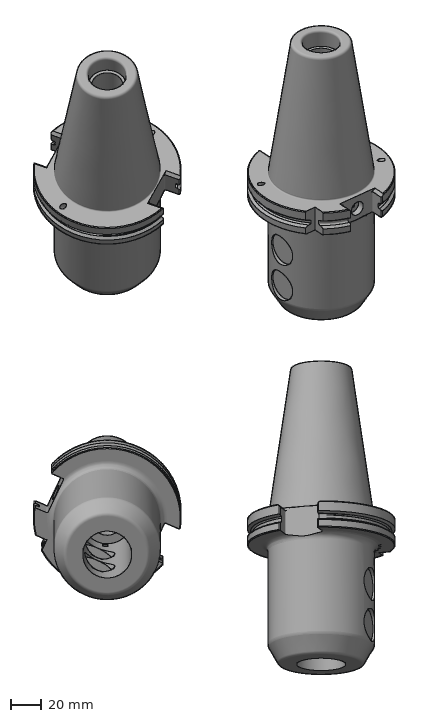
import cadquery as cq
import math


TOTAL_HEIGHT = 201.5
GAUGE_Z = 100.0
FLANGE_TOP = 98.8
FLANGE_BOTTOM = 80.8

GAUGE_RADIUS = 34.9
TAPER_RATIO = 7 / 24
TAPER_TOP_RADIUS = GAUGE_RADIUS - (TOTAL_HEIGHT - GAUGE_Z) * TAPER_RATIO / 2
TAPER_TOP_FILLET = 2.0
COLLAR_ROOT_FILLET = 0.8

FLANGE_DIAMETER = 97.4
FLANGE_RADIUS = FLANGE_DIAMETER / 2
FLANGE_CHAMFER = 0.6
GROOVE_Z = 89.0
GROOVE_RADIUS = 45.2
GROOVE_HALF_WIDTH = 1.8
GROOVE_CORNER_FILLET = 0.8
GROOVE_FLANK_RADIUS = 46.5
GROOVE_FLANK_ANGLE = 30.0

NOSE_RADIUS = 35.0
NOSE_CONE_Z = 12.5
NOSE_CONE_ANGLE = 30.0
NOSE_END_RADIUS = NOSE_RADIUS - NOSE_CONE_Z * math.tan(math.radians(NOSE_CONE_ANGLE))
NOSE_ROOT_FILLET = 4.5
NOSE_SHOULDER_FILLET = 4.0
NOSE_END_FILLET = 2.8

DRAWBAR_RADIUS = 12.5
DRAWBAR_DEPTH = 12.0
DRAWBAR_FILLET = 1.6
THROUGH_RADIUS = 10.3
SHANK_BORE_RADIUS = 16.1
SHANK_BORE_DEPTH = 76.6

SLOT_HALF_WIDTH = 13.0
SLOT_FLOOR_LEFT = -37.3
SLOT_FLOOR_RIGHT = 35.7
SLOT_CORNER_FILLET = 0.8
SLOT_TOP_CHAMFER = 2.0
SLOT_RIM_CHAMFER = 0.8

NOTCH_CORNER = 30.0

CHIP_RADIUS = 5.0
CHIP_DEPTH = 4.6
PILOT_RADIUS = 1.6
PILOT_TIP_ANGLE = 118.0

COOLANT_RADIUS = 1.8
COOLANT_CIRCLE_RADIUS = 42.1
COOLANT_TILT = 45.0
COOLANT_FIRST_ANGLE = 70.3
COOLANT_ANGLES = (COOLANT_FIRST_ANGLE, COOLANT_FIRST_ANGLE + 180)

SCREW_RADIUS = 10.9
SCREW_HEIGHTS = (24.0, 51.8)
SCREW_OUTER_Y = 32.3

CUT_MARGIN = 2.0


def circles_at(body, radius, z):
    """Circular edges of the body around the Z axis with this radius and height."""
    tolerance = 0.002

    def matches(edge):
        return (
            edge.geomType() == "CIRCLE"
            and abs(edge.radius() - radius) < tolerance
            and abs(edge.Center().z - z) < tolerance
        )

    return body.newObject([edge for edge in body.edges().vals() if matches(edge)])


def cylinder_z(radius, bottom, top):
    return cq.Workplane("XY", origin=(0, 0, bottom)).circle(radius).extrude(top - bottom)


def turned_body():
    """Outside of the holder, turned about Z."""
    flank_depth = FLANGE_RADIUS - GROOVE_FLANK_RADIUS
    half_mouth = GROOVE_HALF_WIDTH + flank_depth * math.tan(math.radians(GROOVE_FLANK_ANGLE))
    outline = [
        (0, 0),
        (NOSE_END_RADIUS, 0),
        (NOSE_RADIUS, NOSE_CONE_Z),
        (NOSE_RADIUS, FLANGE_BOTTOM),
        (FLANGE_RADIUS - FLANGE_CHAMFER, FLANGE_BOTTOM),
        (FLANGE_RADIUS, FLANGE_BOTTOM + FLANGE_CHAMFER),
        (FLANGE_RADIUS, GROOVE_Z - half_mouth),
        (GROOVE_FLANK_RADIUS, GROOVE_Z - GROOVE_HALF_WIDTH),
        (GROOVE_RADIUS, GROOVE_Z - GROOVE_HALF_WIDTH),
        (GROOVE_RADIUS, GROOVE_Z + GROOVE_HALF_WIDTH),
        (GROOVE_FLANK_RADIUS, GROOVE_Z + GROOVE_HALF_WIDTH),
        (FLANGE_RADIUS, GROOVE_Z + half_mouth),
        (FLANGE_RADIUS, FLANGE_TOP - FLANGE_CHAMFER),
        (FLANGE_RADIUS - FLANGE_CHAMFER, FLANGE_TOP),
        (GAUGE_RADIUS, FLANGE_TOP),
        (GAUGE_RADIUS, GAUGE_Z),
        (TAPER_TOP_RADIUS, TOTAL_HEIGHT),
        (0, TOTAL_HEIGHT),
    ]
    body = cq.Workplane("XZ").polyline(outline).close().revolve(360, (0, 0, 0), (0, 1, 0))
    rounded_edges = [
        (NOSE_END_RADIUS, 0, NOSE_END_FILLET),
        (NOSE_RADIUS, NOSE_CONE_Z, NOSE_SHOULDER_FILLET),
        (NOSE_RADIUS, FLANGE_BOTTOM, NOSE_ROOT_FILLET),
        (GAUGE_RADIUS, FLANGE_TOP, COLLAR_ROOT_FILLET),
        (TAPER_TOP_RADIUS, TOTAL_HEIGHT, TAPER_TOP_FILLET),
        (GROOVE_RADIUS, GROOVE_Z - GROOVE_HALF_WIDTH, GROOVE_CORNER_FILLET),
        (GROOVE_RADIUS, GROOVE_Z + GROOVE_HALF_WIDTH, GROOVE_CORNER_FILLET),
    ]
    for radius, z, fillet in rounded_edges:
        body = circles_at(body, radius, z).fillet(fillet)
    return body


def cut_axial_bores(body):
    body = body.cut(cylinder_z(THROUGH_RADIUS, 0, TOTAL_HEIGHT))
    body = body.cut(cylinder_z(SHANK_BORE_RADIUS, 0, SHANK_BORE_DEPTH))
    body = body.cut(cylinder_z(DRAWBAR_RADIUS, TOTAL_HEIGHT - DRAWBAR_DEPTH, TOTAL_HEIGHT))
    return circles_at(body, DRAWBAR_RADIUS, TOTAL_HEIGHT).fillet(DRAWBAR_FILLET)


def drive_slot(floor_x):
    """Cutter for a slot that runs outward from floor_x, with chamfered mouth edges."""
    side = math.copysign(1, floor_x)
    outer_x = side * (FLANGE_RADIUS + CUT_MARGIN)
    bottom = FLANGE_BOTTOM - NOSE_ROOT_FILLET
    height = FLANGE_TOP - bottom
    floor_edges = "|Z and <X" if side > 0 else "|Z and >X"
    slot = (
        cq.Workplane("XY", origin=((floor_x + outer_x) / 2, 0, bottom))
        .rect(abs(outer_x - floor_x), 2 * SLOT_HALF_WIDTH)
        .extrude(height)
        .edges(floor_edges)
        .fillet(SLOT_CORNER_FILLET)
    )

    wide = SLOT_HALF_WIDTH + SLOT_TOP_CHAMFER
    top_chamfer = (
        cq.Workplane("YZ", origin=(floor_x, 0, 0))
        .polyline([
            (-wide, FLANGE_TOP),
            (-SLOT_HALF_WIDTH, FLANGE_TOP - SLOT_TOP_CHAMFER),
            (SLOT_HALF_WIDTH, FLANGE_TOP - SLOT_TOP_CHAMFER),
            (wide, FLANGE_TOP),
        ])
        .close()
        .extrude(outer_x - floor_x)
    )

    rim_half_width = SLOT_HALF_WIDTH + SLOT_RIM_CHAMFER
    rim_x = math.sqrt(FLANGE_RADIUS**2 - rim_half_width**2)
    inner_x = side * (rim_x - SLOT_RIM_CHAMFER)
    rim_chamfer = (
        cq.Workplane("XY", origin=(0, 0, bottom))
        .polyline([
            (inner_x, -SLOT_HALF_WIDTH),
            (side * rim_x, -rim_half_width),
            (outer_x, -rim_half_width),
            (outer_x, rim_half_width),
            (side * rim_x, rim_half_width),
            (inner_x, SLOT_HALF_WIDTH),
        ])
        .close()
        .extrude(height)
    )
    return slot.union(top_chamfer).union(rim_chamfer)


def orientation_notch():
    """Square cutter through the full flange height, with its inner corner on the notch corner."""
    size = FLANGE_RADIUS
    return (
        cq.Workplane("XY")
        .box(size, size, FLANGE_TOP - FLANGE_BOTTOM, centered=False)
        .translate((-NOTCH_CORNER - size, NOTCH_CORNER, FLANGE_BOTTOM))
    )


def chip_pocket():
    """Flat-bottomed pocket with a conical centre mark, turned about an X axis."""
    tip_depth = PILOT_RADIUS / math.tan(math.radians(PILOT_TIP_ANGLE / 2))
    outline = [
        (0, 0),
        (0, CHIP_RADIUS),
        (CHIP_DEPTH, CHIP_RADIUS),
        (CHIP_DEPTH, PILOT_RADIUS),
        (CHIP_DEPTH + tip_depth, 0),
    ]
    return (
        cq.Workplane("XY")
        .polyline(outline)
        .close()
        .revolve(360, (0, 0, 0), (1, 0, 0))
        .translate((SLOT_FLOOR_LEFT, 0, GROOVE_Z))
    )


def coolant_hole(angle):
    """Slanted hole from the flange face at this polar angle, ending inside the shank bore."""
    tilt = math.radians(COOLANT_TILT)
    mouth = cq.Vector(COOLANT_CIRCLE_RADIUS, 0, FLANGE_TOP)
    direction = cq.Vector(-math.sin(tilt), 0, -math.cos(tilt))
    length = (COOLANT_CIRCLE_RADIUS - THROUGH_RADIUS) / math.sin(tilt)
    overshoot = 2 * COOLANT_RADIUS
    start = mouth - direction * overshoot
    hole = cq.Solid.makeCylinder(COOLANT_RADIUS, length + overshoot, start, direction)
    return cq.Workplane(hole).rotate((0, 0, 0), (0, 0, 1), angle)


def cylinder_y(radius, z, inner_y, outer_y):
    return cq.Workplane("XZ", origin=(0, inner_y, z)).circle(radius).extrude(inner_y - outer_y)


def make_holder():
    holder = cut_axial_bores(turned_body())
    for floor_x in (SLOT_FLOOR_LEFT, SLOT_FLOOR_RIGHT):
        holder = holder.cut(drive_slot(floor_x))
    holder = holder.cut(orientation_notch())
    holder = holder.cut(chip_pocket())
    for angle in COOLANT_ANGLES:
        holder = holder.cut(coolant_hole(angle))
    for z in SCREW_HEIGHTS:
        holder = holder.cut(cylinder_y(SCREW_RADIUS, z, 0, NOSE_RADIUS + CUT_MARGIN))
    return holder


def make_screw(z):
    """Clamping screw that fills its hole from the shank bore to just below the nose surface."""
    return cylinder_y(SCREW_RADIUS, z, SHANK_BORE_RADIUS, SCREW_OUTER_Y)


holder = make_holder()
screws = [make_screw(z) for z in SCREW_HEIGHTS]
result = cq.Compound.makeCompound([holder.val(), *[screw.val() for screw in screws]])